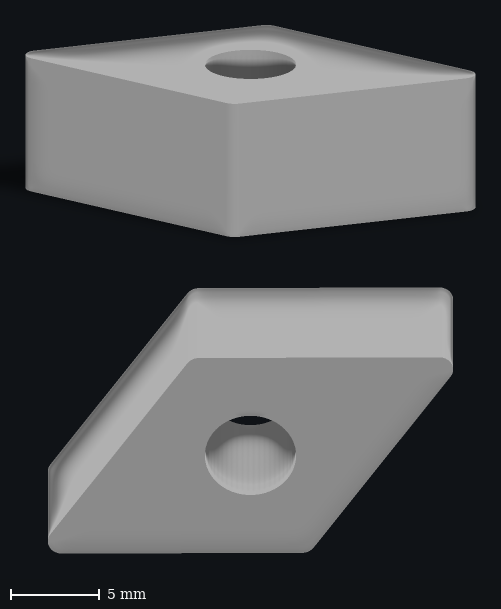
import cadquery as cq
import math

overall_length = 22.93
width = 12.7
thickness = 7.93
acute_angle = math.radians(55)
hole_diameter = 5.15

side = width / math.sin(acute_angle)
lean = side * math.cos(acute_angle)
sharp_length = side + lean

shortening_per_radius = 1 / math.tan(acute_angle / 2) - 1
corner_radius = (sharp_length - overall_length) / (2 * shortening_per_radius)


def rhombus_body():
    """Rhombic prism centred on the origin with all upright edges rounded."""
    acute_x = sharp_length / 2
    obtuse_x = acute_x - side
    corners = [
        (-acute_x, -width / 2),
        (-obtuse_x, -width / 2),
        (acute_x, width / 2),
        (obtuse_x, width / 2),
    ]
    prism = cq.Workplane("XY").polyline(corners).close().extrude(thickness)
    return prism.edges("|Z").fillet(corner_radius)


result = rhombus_body().faces(">Z").workplane(origin=(0, 0, 0)).hole(hole_diameter)